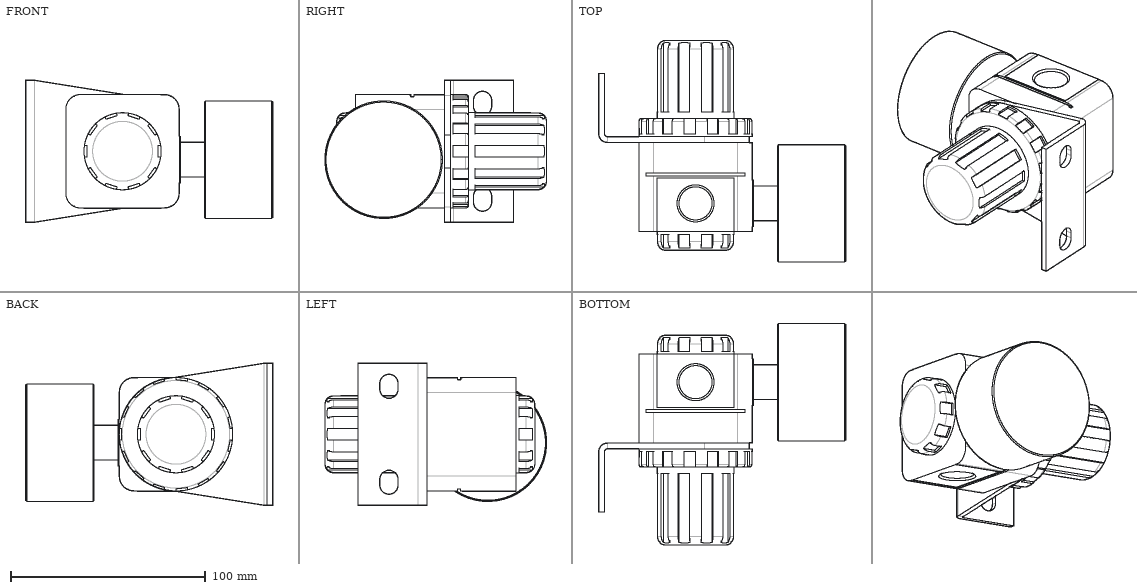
import cadquery as cq
import math


BLOCK_WIDTH = 58.4
BLOCK_LENGTH = 45.8
BLOCK_CORNER_RADIUS = 7.6
SLIT_START = 28.5
SLIT_WIDTH = 1.5
SLIT_DEPTH = 1.0

PORT_Y = 14.5
PORT_RADIUS = 8.5
PORT_DEPTH = 15.3
PORT_CHAMFER = 1.0
PAD_WIDTH = 39.5
PAD_LENGTH = 27.6
PAD_HEIGHT = 0.1

SHEET = 3.0
BEND_RADIUS = 4.6
BRACKET_HEIGHT = 73.1
LEG_BACK_X = -49.9
LEG_END_Y = 81.4
PLATE_END_RADIUS = 29.0
PLATE_END_X = 27.7
NECK_RADIUS = 21.6
SLOT_Y = 65.4
SLOT_SPACING = 49.4
SLOT_LENGTH = 12.2
SLOT_WIDTH = 9.3

RING_END = 58.3
RING_FLANGE = 1.4
RING_FILLET = 1.5
RING_NOTCHES = 15
RING_NOTCH_WIDTH = 5.9
RING_NOTCH_DEPTH = 1.3

KNOB_END = 98.3
KNOB_COLLAR = 3.2
GRIP_RADIUS = 19.8
GRIP_FILLET = 4.5
GRIP_NOTCHES = 10
GRIP_NOTCH_WIDTH = 6.1
GRIP_NOTCH_DEPTH = 1.5
CAP_LENGTH = 9.7
CAP_COLLAR = 1.4

GAUGE_Z = -4.3
GAUGE_RADIUS = 30.3
GAUGE_START_X = 42.1
GAUGE_CHAMFER = 0.6
OVERALL_LENGTH = 127.2
STEM_RADIUS = 9.0
BOSS_RADIUS = 12.0
BOSS_HEIGHT = 0.5

NOTCH_REACH = 5.1

HALF_BLOCK = BLOCK_WIDTH / 2
PLATE_BACK_Y = BLOCK_LENGTH + SHEET
RING_RADIUS = HALF_BLOCK
GAUGE_END_X = LEG_BACK_X + OVERALL_LENGTH


def cylinder_y(radius, start, end):
    """Cylinder on the Y axis between two y positions."""
    return cq.Workplane("XZ", origin=(0, start, 0)).circle(radius).extrude(start - end)


def cylinder_x(radius, start, end):
    """Cylinder on the gauge axis between two x positions."""
    return cq.Workplane("YZ", origin=(start, PORT_Y, GAUGE_Z)).circle(radius).extrude(end - start)


def cut_notches(body, count, floor_radius, width, start, end):
    """Cut evenly spaced flat-floored notches into the rim of a body on the Y axis."""
    for i in range(count):
        notch = (
            cq.Workplane("XY")
            .box(NOTCH_REACH, end - start, width, centered=(False, False, True))
            .translate((floor_radius, start, 0))
            .rotate((0, 0, 0), (0, 1, 0), i * 360 / count)
        )
        body = body.cut(notch)
    return body


def make_block():
    block = (
        cq.Workplane("XY")
        .box(BLOCK_WIDTH, BLOCK_LENGTH, BLOCK_WIDTH, centered=(True, False, True))
        .edges("|Y")
        .fillet(BLOCK_CORNER_RADIUS)
    )
    for side in (1, -1):
        slit = cq.Workplane("XY").box(BLOCK_WIDTH, SLIT_WIDTH, 2 * SLIT_DEPTH, centered=(True, False, True))
        block = block.cut(slit.translate((0, SLIT_START, side * HALF_BLOCK)))
        pad = cq.Workplane("XY").box(PAD_WIDTH, PAD_LENGTH, 2 * PAD_HEIGHT, centered=(True, False, True))
        block = block.union(pad.translate((0, 0, side * HALF_BLOCK)))
        block = block.cut(make_port(side))
    return block


def make_port(side):
    """Blind bore with a chamfered mouth; side is 1 for the +Z port and -1 for the -Z port."""
    mouth = HALF_BLOCK + PAD_HEIGHT
    floor = mouth - PORT_DEPTH
    profile = [
        (0, floor),
        (PORT_RADIUS, floor),
        (PORT_RADIUS, mouth - PORT_CHAMFER),
        (PORT_RADIUS + PORT_CHAMFER, mouth),
        (0, mouth),
    ]
    port = cq.Workplane("XZ").polyline(profile).close().revolve(360, (0, 0, 0), (0, 1, 0))
    if side < 0:
        port = port.mirror("XY")
    return port.translate((0, PORT_Y, 0))


def make_ring():
    ring = cylinder_y(RING_RADIUS, PLATE_BACK_Y, RING_END).faces(">Y").edges().fillet(RING_FILLET)
    notch_start = PLATE_BACK_Y + RING_FLANGE
    floor_radius = RING_RADIUS - RING_NOTCH_DEPTH
    return cut_notches(ring, RING_NOTCHES, floor_radius, RING_NOTCH_WIDTH, notch_start, RING_END)


def make_knob():
    knob = cylinder_y(GRIP_RADIUS, RING_END, KNOB_END).faces(">Y").edges().fillet(GRIP_FILLET)
    floor_radius = GRIP_RADIUS - GRIP_NOTCH_DEPTH
    return cut_notches(knob, GRIP_NOTCHES, floor_radius, GRIP_NOTCH_WIDTH, RING_END + KNOB_COLLAR, KNOB_END)


def make_cap():
    cap = cylinder_y(GRIP_RADIUS, -CAP_LENGTH, 0).faces("<Y").edges().fillet(GRIP_FILLET)
    floor_radius = GRIP_RADIUS - GRIP_NOTCH_DEPTH
    return cut_notches(cap, GRIP_NOTCHES, floor_radius, GRIP_NOTCH_WIDTH, -CAP_LENGTH, -CAP_COLLAR)


def make_gauge():
    dial_case = cylinder_x(GAUGE_RADIUS, GAUGE_START_X, GAUGE_END_X).edges().chamfer(GAUGE_CHAMFER)
    stem = cylinder_x(STEM_RADIUS, HALF_BLOCK, GAUGE_START_X)
    boss = cylinder_x(BOSS_RADIUS, HALF_BLOCK, HALF_BLOCK + BOSS_HEIGHT)
    return dial_case.union(stem).union(boss)


def make_regulator():
    neck = cylinder_y(NECK_RADIUS, BLOCK_LENGTH, PLATE_BACK_Y)
    regulator = make_block().union(neck)
    for section in (make_ring(), make_knob(), make_cap(), make_gauge()):
        regulator = regulator.union(section)
    return regulator


def make_bent_sheet():
    """L-shaped sheet with a rounded bend, as tall as the whole bracket and cut square at the plate end."""
    return (
        cq.Workplane("XY", origin=(0, 0, -BRACKET_HEIGHT / 2))
        .moveTo(LEG_BACK_X, LEG_END_Y)
        .lineTo(LEG_BACK_X, BLOCK_LENGTH + BEND_RADIUS)
        .radiusArc((LEG_BACK_X + BEND_RADIUS, BLOCK_LENGTH), -BEND_RADIUS)
        .lineTo(PLATE_END_X, BLOCK_LENGTH)
        .lineTo(PLATE_END_X, PLATE_BACK_Y)
        .lineTo(LEG_BACK_X + BEND_RADIUS, PLATE_BACK_Y)
        .radiusArc((LEG_BACK_X + SHEET, BLOCK_LENGTH + BEND_RADIUS), BEND_RADIUS - SHEET)
        .lineTo(LEG_BACK_X + SHEET, LEG_END_Y)
        .close()
        .extrude(BRACKET_HEIGHT)
    )


def make_bracket_outline():
    """Full-height leg whose edges taper tangentially into an arc about the regulator axis."""
    taper_x = LEG_BACK_X + BEND_RADIUS
    taper_z = BRACKET_HEIGHT / 2
    taper_angle = math.atan2(taper_z, taper_x)
    tangent_angle = taper_angle - math.acos(PLATE_END_RADIUS / math.hypot(taper_x, taper_z))
    tangent_x = PLATE_END_RADIUS * math.cos(tangent_angle)
    tangent_z = PLATE_END_RADIUS * math.sin(tangent_angle)
    return (
        cq.Workplane("XZ", origin=(0, LEG_END_Y, 0))
        .moveTo(LEG_BACK_X, -taper_z)
        .lineTo(taper_x, -taper_z)
        .lineTo(tangent_x, -tangent_z)
        .threePointArc((PLATE_END_RADIUS, 0), (tangent_x, tangent_z))
        .lineTo(taper_x, taper_z)
        .lineTo(LEG_BACK_X, taper_z)
        .close()
        .extrude(LEG_END_Y - BLOCK_LENGTH)
    )


def make_bracket():
    bracket = make_bent_sheet().intersect(make_bracket_outline())
    bracket = bracket.cut(cylinder_y(NECK_RADIUS, BLOCK_LENGTH, PLATE_BACK_Y))
    slots = (
        cq.Workplane("YZ", origin=(LEG_BACK_X, SLOT_Y, 0))
        .pushPoints([(0, -SLOT_SPACING / 2), (0, SLOT_SPACING / 2)])
        .slot2D(SLOT_LENGTH, SLOT_WIDTH, 90)
        .extrude(SHEET)
    )
    return bracket.cut(slots)


regulator = make_regulator()
bracket = make_bracket()

result = cq.Compound.makeCompound([regulator.val(), bracket.val()])